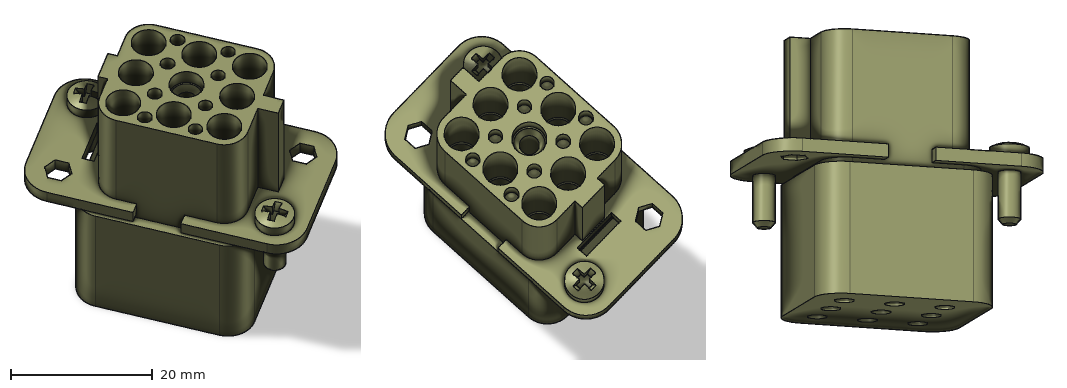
import cadquery as cq

base_top = 19.0
plate_bottom = 19.95
plate_thickness = 1.9
plate_top = plate_bottom + plate_thickness
total_height = 38.5

base_length = 26.3
base_width = 21.95
base_corner = 3.95
neck_length = 23.63
body_width = 18.95
body_corner = 3.5

body_length = 21.92
body_x = (neck_length - body_length) / 2

left_rib_x = -11.52
left_rib_width = 4.6
right_rib_x = 14.85
right_rib_width = 2.6

plate_length = 41.6
plate_width = 22.4
plate_corner = 4.5
edge_gap = 7.07
latch_slot_length = 1.8
latch_slot_width = 7.07
latch_slot_x = -12.6

fixing_x = 16.0
fixing_y = 6.7
hex_across_corners = 4.05

screw_head_diameter = 5.6
screw_head_height = 1.6
screw_dome_height = 0.7
screw_shank_diameter = 3.2
screw_tip_diameter = 1.9
screw_tip_height = 0.75
screw_end = 12.45

recess_arm_width = 1.0
recess_top_length = 3.95
recess_floor_length = 2.25
recess_depth = 1.5
recess_cone_depth = 0.35

contact_pitch_x = 7.5
contact_pitch_y = 6.0
contact_diameter = 4.9
contact_bore_diameter = 2.8
funnel_diameter = 4.4
funnel_depth = 0.87
contact_depth = 12.5
earth_contact_depth = 2.3

small_hole_diameters = (2.1, 2.0)
small_hole_depth = 2.5
small_hole_inner_y = contact_pitch_y / 2
small_hole_outer_y = 7.7


def block(x_size, y_size, bottom, top, x_center=0):
    """Box centred on the X axis, standing between two heights."""
    height = top - bottom
    return cq.Workplane("XY").box(x_size, y_size, height).translate((x_center, 0, (bottom + top) / 2))


def rounded_block(x_size, y_size, corner, bottom, top, x_center=0):
    """Box with rounded vertical edges."""
    return block(x_size, y_size, bottom, top, x_center).edges("|Z").fillet(corner)


def rib(outer_x, width):
    """Rib from the body centre out to outer_x, standing on the plate."""
    inner_x = body_x
    return block(abs(outer_x - inner_x), width, plate_top, total_height, (outer_x + inner_x) / 2)


def mounting_plate():
    plate = rounded_block(plate_length, plate_width, plate_corner, plate_bottom, plate_top)
    plate = plate.cut(block(latch_slot_length, latch_slot_width, plate_bottom, plate_top, latch_slot_x))
    plate = plate.cut(block(edge_gap, plate_width, plate_bottom, plate_top))
    hex_holes = (
        cq.Workplane("XY", origin=(0, 0, plate_bottom))
        .pushPoints([(-fixing_x, -fixing_y), (fixing_x, fixing_y)])
        .polygon(6, hex_across_corners)
        .extrude(plate_thickness)
    )
    return plate.cut(hex_holes)


def cross_recess(top):
    """Cross with sloping arm ends and a shallow conical floor."""
    floor = top - recess_depth
    half_top = recess_top_length / 2
    half_floor = recess_floor_length / 2
    arm = (
        cq.Workplane("XZ")
        .polyline([(-half_top, top), (half_top, top), (half_floor, floor), (-half_floor, floor)])
        .close()
        .extrude(recess_arm_width / 2, both=True)
    )
    cone_radius = (half_floor**2 + (recess_arm_width / 2) ** 2) ** 0.5
    floor_cone = (
        cq.Workplane("XZ")
        .polyline([(0, floor), (cone_radius, floor), (0, floor - recess_cone_depth)])
        .close()
        .revolve(360, (0, 0, 0), (0, 1, 0))
    )
    slab = block(recess_floor_length, recess_arm_width, floor - recess_cone_depth, top)
    slabs = slab.union(slab.rotate((0, 0, 0), (0, 0, 1), 90))
    arms = arm.union(arm.rotate((0, 0, 0), (0, 0, 1), 90))
    return arms.union(floor_cone.intersect(slabs))


def screw():
    head_radius = screw_head_diameter / 2
    shank_radius = screw_shank_diameter / 2
    rim = plate_top + screw_head_height
    top = rim + screw_dome_height
    dome_radius = (head_radius**2 + screw_dome_height**2) / (2 * screw_dome_height)
    mid_radius = head_radius / 2
    mid_height = top - dome_radius + (dome_radius**2 - mid_radius**2) ** 0.5
    turned = (
        cq.Workplane("XZ")
        .moveTo(0, screw_end)
        .lineTo(screw_tip_diameter / 2, screw_end)
        .lineTo(shank_radius, screw_end + screw_tip_height)
        .lineTo(shank_radius, plate_top)
        .lineTo(head_radius, plate_top)
        .lineTo(head_radius, rim)
        .threePointArc((mid_radius, mid_height), (0, top))
        .close()
        .revolve(360, (0, 0, 0), (0, 1, 0))
    )
    return turned.cut(cross_recess(top))


def contact_cavity(depth):
    """Wide bore, a narrow ledge, a funnel, then a bore to the underside."""
    ledge = total_height - depth
    bore_radius = contact_bore_diameter / 2
    return (
        cq.Workplane("XZ")
        .moveTo(0, 0)
        .lineTo(bore_radius, 0)
        .lineTo(bore_radius, ledge - funnel_depth)
        .lineTo(funnel_diameter / 2, ledge)
        .lineTo(contact_diameter / 2, ledge)
        .lineTo(contact_diameter / 2, total_height)
        .lineTo(0, total_height)
        .close()
        .revolve(360, (0, 0, 0), (0, 1, 0))
    )


housing = rounded_block(base_length, base_width, base_corner, 0, base_top)
housing = housing.union(rounded_block(neck_length, body_width, body_corner, base_top, plate_bottom))
housing = housing.union(mounting_plate())
housing = housing.union(
    rounded_block(body_length, body_width, body_corner, base_top, total_height, body_x)
)
housing = housing.union(rib(left_rib_x, left_rib_width))
housing = housing.union(rib(right_rib_x, right_rib_width))

for column in (-1, 0, 1):
    for row in (-1, 0, 1):
        is_earth = column == 0 and row == 0
        cavity = contact_cavity(earth_contact_depth if is_earth else contact_depth)
        housing = housing.cut(
            cavity.translate((body_x + column * contact_pitch_x, row * contact_pitch_y, 0))
        )

for side, diameter in zip((-1, 1), small_hole_diameters):
    hole_x = body_x + side * contact_pitch_x / 2
    small_holes = (
        cq.Workplane("XY", origin=(0, 0, total_height))
        .pushPoints([
            (hole_x, y)
            for y in (-small_hole_outer_y, -small_hole_inner_y, small_hole_inner_y, small_hole_outer_y)
        ])
        .circle(diameter / 2)
        .extrude(-small_hole_depth)
    )
    housing = housing.cut(small_holes)

for direction in (-1, 1):
    housing = housing.union(screw().translate((direction * fixing_x, -direction * fixing_y, 0)))

result = housing